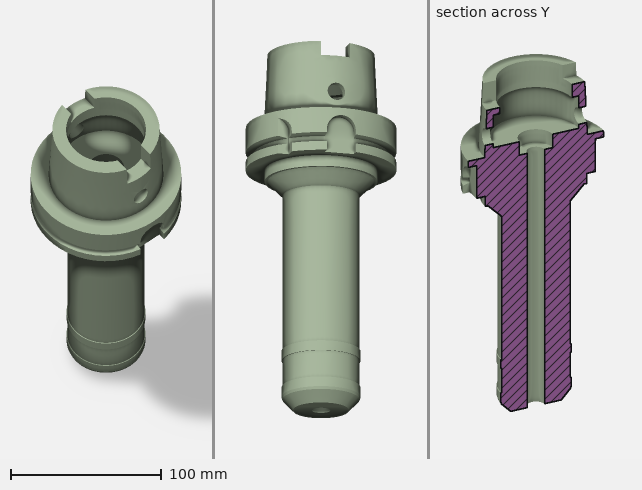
import cadquery as cq


taper_length = 50.0
taper_base_radius = 38.1
taper_tip_radius = 35.6

flange_radius = 50.0
flange_thickness = 29.5
groove_centre_depth = 20.4
groove_opening = 6.2
groove_floor_width = 3.6
groove_floor_radius = 45.1

neck_radius = 37.5
neck_length = 7.5
cone_radius = 35.5
cone_height = 10.0
shank_radius = 25.6
band_radius = 26.2
band_height = 6.7
nose_radius = 18.6
nose_height = 7.3
nose_lead_in = 1.8
band_pitch = 25.0
overall_length = 245.0

lip_radius = 26.5
lip_depth = 20.0
cavity_radius = 31.5
cavity_depth = 44.0
tube_seat_radius = 12.2
tube_seat_depth = 10.0
coolant_radius = 6.2

drive_slot_width = 20.0
drive_slot_depth = 10.0
deep_drive_slot_depth = 15.0
clamp_hole_diameter = 12.0
clamp_hole_height = 15.0
key_radius = 10.0
key_top_depth = 5.0
key_floor_distance = 44.0
side_key_floor_distance = 31.7
side_key_offset = 41.4

tip_z = taper_length
nose_z = taper_length - overall_length
neck_end_z = -flange_thickness - neck_length
side_cut_reach = 2 * flange_radius


def make_body():
    """Revolve the outer profile of taper, flange, neck and shank."""
    groove_top = -groove_centre_depth + groove_opening / 2
    groove_bottom = groove_top - groove_opening
    floor_top = -groove_centre_depth + groove_floor_width / 2
    floor_bottom = floor_top - groove_floor_width
    profile = [
        (0, tip_z),
        (taper_tip_radius, tip_z),
        (taper_base_radius, 0),
        (flange_radius, 0),
        (flange_radius, groove_top),
        (groove_floor_radius, floor_top),
        (groove_floor_radius, floor_bottom),
        (flange_radius, groove_bottom),
        (flange_radius, -flange_thickness),
        (neck_radius, -flange_thickness),
        (neck_radius, neck_end_z),
        (cone_radius, neck_end_z),
        (shank_radius, neck_end_z - cone_height),
        (shank_radius, nose_z + nose_height),
        (nose_radius, nose_z),
        (0, nose_z),
    ]
    return cq.Workplane("XZ").polyline(profile).close().revolve(360, (0, 0), (0, 1))


def make_bands():
    """Two raised guide bands; the lower one tapers down to the nose."""
    lower_band_z = nose_z + nose_height + nose_lead_in
    bands = cylinder(band_radius, lower_band_z, lower_band_z + band_height)
    upper_band_z = lower_band_z + band_pitch
    bands = bands.union(cylinder(band_radius, upper_band_z, upper_band_z + band_height))
    lead_in = (
        cq.Workplane("XY", origin=(0, 0, nose_z + nose_height))
        .circle(shank_radius)
        .workplane(offset=nose_lead_in)
        .circle(band_radius)
        .loft()
    )
    return bands.union(lead_in)


def cylinder(radius, bottom_z, top_z):
    """Cylinder on the Z axis between two heights."""
    return cq.Workplane("XY", origin=(0, 0, bottom_z)).circle(radius).extrude(top_z - bottom_z)


def make_bore():
    """Lip, undercut cavity, coolant tube seat and through coolant hole."""
    cavity_floor_z = tip_z - cavity_depth
    bore = cylinder(lip_radius, cavity_floor_z, tip_z)
    bore = bore.union(cylinder(cavity_radius, cavity_floor_z, tip_z - lip_depth))
    bore = bore.union(cylinder(tube_seat_radius, cavity_floor_z - tube_seat_depth, cavity_floor_z))
    return bore.union(cylinder(coolant_radius, nose_z, cavity_floor_z))


def make_drive_slot(direction, depth):
    """Drive slot in one wall at the tip; direction is +1 for the +X wall and -1 for the -X wall."""
    return (
        cq.Workplane("XY", origin=(direction * side_cut_reach / 2, 0, tip_z - depth))
        .box(side_cut_reach, drive_slot_width, depth, centered=(True, True, False))
    )


def make_clamp_holes():
    """Cross hole along X through both walls of the taper."""
    return (
        cq.Workplane("YZ", origin=(0, 0, clamp_hole_height))
        .circle(clamp_hole_diameter / 2)
        .extrude(side_cut_reach / 2, both=True)
    )


def make_keyway(centre_y, floor_distance):
    """Round-topped keyway on the -X side, open at the underside of the flange."""
    arch_z = -key_top_depth - key_radius
    return (
        cq.Workplane("YZ", origin=(-floor_distance, 0, 0))
        .moveTo(centre_y - key_radius, -flange_thickness)
        .lineTo(centre_y - key_radius, arch_z)
        .threePointArc((centre_y, -key_top_depth), (centre_y + key_radius, arch_z))
        .lineTo(centre_y + key_radius, -flange_thickness)
        .close()
        .extrude(floor_distance - side_cut_reach)
    )


main_keyway = make_keyway(0, key_floor_distance)
opposite_keyway = main_keyway.mirror("YZ")
side_keyway = make_keyway(side_key_offset, side_key_floor_distance)

result = make_body().union(make_bands())
for cut in (
    make_bore(),
    make_drive_slot(-1, drive_slot_depth),
    make_drive_slot(1, deep_drive_slot_depth),
    make_clamp_holes(),
    main_keyway,
    opposite_keyway,
    side_keyway,
):
    result = result.cut(cut)